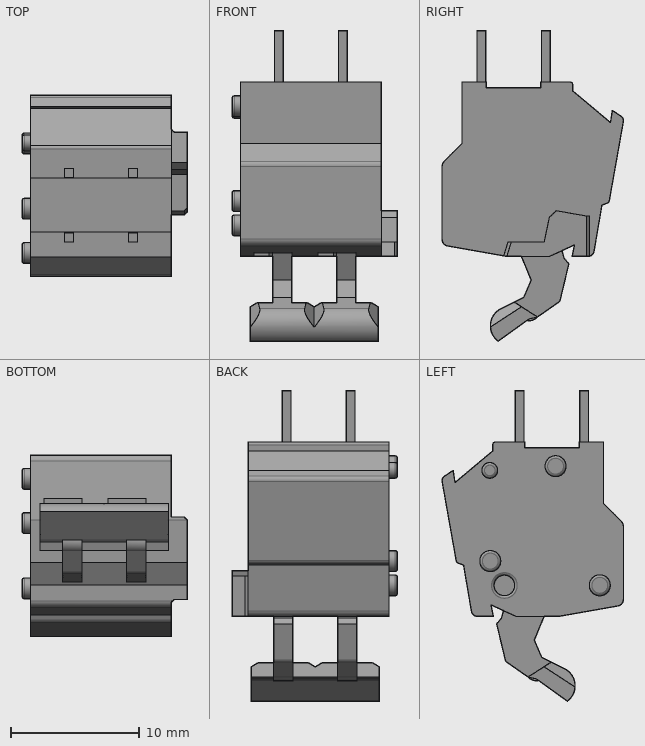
import cadquery as cq
import math


module_pitch = 5.0
module_count = 2
housing_width = 11.0

front_top_y = 1.55
shoulder_z = 7.25
housing_height = 13.62
channel_front_y = 3.47
channel_back_y = 7.70
channel_depth = 0.45
back_top_y = 10.21
roof_slope_top_z = 12.91
underside_front_y = 5.05
lean = math.tan(math.radians(10))
shoulder_top_z = shoulder_z + front_top_y
underside_front_z = underside_front_y * lean

front_radius = 0.55
top_edge_radius = 0.25
lip_radius = 0.42
step_radius = 0.3
knee_radius = 0.3
foot_radius = 0.5

stud_length = 0.65
stud_round = 0.2
large_stud_radius = 0.82
small_stud_radius = 0.615
studs = [
    (5.30, 11.72, large_stud_radius),
    (10.43, 11.39, small_stud_radius),
    (10.39, 4.32, large_stud_radius),
    (1.85, 2.43, large_stud_radius),
]

socket_y = 9.29
socket_z = 2.42
socket_radius = 0.8
socket_depth = 1.0
socket_lip_round = 0.2

pin_size = 0.7
pin_length = 4.0
first_pin_x = 3.0
pin_rows_y = [3.07, 8.10]

arm_width = 1.5
first_arm_x = 3.26
paddle_width = module_pitch
paddle_corner_angle = 45
paddle_edge_radius = 0.3
paddle_bevel_cut = 2.0
arm_embed_z = 1.5

paddle_root = (7.45, -4.72)
paddle_back_y = 5.63
arm_end_y = 5.10
crown_start = (6.37, -3.18)
crown_end = (4.62, -4.06)
crown_slope = (crown_start[1] - crown_end[1]) / (crown_start[0] - crown_end[0])
paddle_back_top = (paddle_back_y, crown_end[1] + (paddle_back_y - crown_end[0]) * crown_slope)
arm_end = (arm_end_y, crown_end[1] + (arm_end_y - crown_end[0]) * crown_slope)
paddle_heel = (6.62, -5.00)

opening_front_y = 3.4
opening_depth = 1.0
opening_offset = 2.2
opening_back_y = 4.8
opening_corner = 0.26
arm_slot_back_y = 6.5

block_length = 1.25
block_front_y = 4.80
block_floor_front_y = 5.14
block_floor_z = 1.12
block_back_y = 11.27
block_step_y = 7.97
block_bevel_start = (8.37, 3.05)
block_peak = (8.91, 3.57)
block_corner = 0.25
block_base_wedge = 0.22


def prism(outline, x_start, length):
    """Extrude a closed (y, z) polygon along +X from x_start."""
    return cq.Workplane("YZ", origin=(x_start, 0, 0)).polyline(outline).close().extrude(length)


def make_housing():
    """Return the rounded housing, and a sharp-cornered prism of its outline beside the +X wall."""
    front_shoulder = (0, shoulder_z)
    front_foot = (0, underside_front_z)
    back_top = (back_top_y, housing_height)
    lip_corner = (14.20, 10.785)
    back_step = (13.03, 4.20)
    back_foot = (11.80, 0)
    outline = [
        front_foot,
        front_shoulder,
        (front_top_y, shoulder_top_z),
        (front_top_y, housing_height),
        (channel_front_y, housing_height),
        (channel_front_y, housing_height - channel_depth),
        (channel_back_y, housing_height - channel_depth),
        (channel_back_y, housing_height),
        back_top,
        (back_top_y, roof_slope_top_z),
        (13.13, 10.46),
        (13.28, 11.40),
        lip_corner,
        back_step,
        (12.48, 4.00),
        back_foot,
        (10.14, 0),
        (10.32, 0.89),
        (8.37, 0),
        (underside_front_y, 0),
    ]
    rounded_corners = [
        (front_shoulder, front_radius),
        (front_foot, front_radius),
        (back_top, top_edge_radius),
        (lip_corner, lip_radius),
        (back_step, step_radius),
        (back_foot, foot_radius),
    ]
    housing = prism(outline, 0, housing_width)
    for (y, z), radius in rounded_corners:
        corner = cq.NearestToPointSelector((housing_width / 2, y, z))
        housing = housing.edges(corner).fillet(radius)
    return housing, prism(outline, housing_width, block_length)


def make_stud(y, z, radius):
    stud = cq.Workplane("YZ", origin=(-stud_length, y, z)).circle(radius).extrude(stud_length)
    return stud.faces("<X").edges().fillet(stud_round)


def cut_socket(housing):
    bore = cq.Workplane("YZ", origin=(0, socket_y, socket_z)).circle(socket_radius).extrude(socket_depth)
    mouth = cq.NearestToPointSelector((0, socket_y, socket_z + socket_radius))
    return housing.cut(bore).faces("<X").edges(mouth).fillet(socket_lip_round)


def make_opening(arm_x):
    """L-shaped pocket in the underside: a short recess beside the longer slot that holds the arm."""
    arm_left = arm_x - arm_width / 2
    arm_right = arm_x + arm_width / 2
    plan = [
        (arm_x - opening_offset, opening_front_y),
        (arm_right, opening_front_y),
        (arm_right, arm_slot_back_y),
        (arm_left, arm_slot_back_y),
        (arm_left, opening_back_y + opening_corner),
        (arm_left - opening_corner, opening_back_y),
        (arm_x - opening_offset, opening_back_y),
    ]
    return cq.Workplane("XY").polyline(plan).close().extrude(opening_depth)


def make_block(housing_section):
    """Stepped coupling block whose underside follows the housing outline."""
    block_rear_z = block_peak[1] - (block_back_y - block_peak[0]) * lean
    outline = [
        (block_front_y, 0),
        (block_floor_front_y, block_floor_z),
        (block_step_y, block_floor_z),
        block_bevel_start,
        block_peak,
        (block_back_y, block_rear_z),
        (block_back_y, 0),
    ]
    block = prism(outline, housing_width, block_length)
    front_end = cq.NearestToPointSelector((housing_width + block_length, block_front_y, block_floor_z / 2))
    block = block.edges(front_end).chamfer(block_corner)
    wedge = (
        cq.Workplane("XY")
        .moveTo(housing_width, block_back_y)
        .lineTo(housing_width + block_base_wedge, block_back_y)
        .lineTo(housing_width, block_back_y + block_base_wedge)
        .close()
        .extrude(block_rear_z)
    )
    return block.union(wedge).intersect(housing_section)


def make_pin(x, y):
    height = pin_length + channel_depth
    base_z = housing_height - channel_depth
    return cq.Workplane("XY", origin=(x, y, base_z)).rect(pin_size, pin_size).extrude(height)


def make_arm(x):
    knee = (9.2, -3.50)
    arm = (
        cq.Workplane("YZ", origin=(x - arm_width / 2, 0, 0))
        .moveTo(9.08, arm_embed_z)
        .lineTo(9.53, -0.13)
        .lineTo(9.90, -0.58)
        .lineTo(*knee)
        .lineTo(*paddle_root)
        .threePointArc((7.08, -4.97), paddle_heel)
        .lineTo(*arm_end)
        .lineTo(*crown_start)
        .lineTo(6.95, -1.84)
        .lineTo(5.57, arm_embed_z)
        .close()
        .extrude(arm_width)
    )
    return arm.edges(cq.NearestToPointSelector((x, *knee))).fillet(knee_radius)


def make_paddle(x):
    tip = (4.38, -6.61)
    paddle = (
        cq.Workplane("YZ", origin=(x - paddle_width / 2, 0, 0))
        .moveTo(*paddle_root)
        .lineTo(*paddle_back_top)
        .lineTo(*crown_end)
        .threePointArc((3.77, -5.35), tip)
        .lineTo(*paddle_heel)
        .lineTo(6.78, -4.87)
        .close()
        .extrude(paddle_width)
    )
    top_edge = cq.NearestToPointSelector((x, *paddle_back_top))
    paddle = paddle.edges(top_edge).fillet(paddle_edge_radius)

    bevel_start = (6.17, -3.94)
    bevel_end = (3.81, -5.48)
    bevel_angle = math.degrees(math.atan2(bevel_start[1] - bevel_end[1], bevel_start[0] - bevel_end[0]))
    bevel_rise = paddle_bevel_cut * math.tan(math.radians(paddle_corner_angle))
    for side in (-1, 1):
        end_x = x + side * paddle_width / 2
        wedge = (
            cq.Workplane("XZ")
            .polyline([(0, 0), (0, bevel_rise), (-side * paddle_bevel_cut, bevel_rise)])
            .close()
            .extrude(paddle_width, both=True)
            .rotate((0, 0, 0), (1, 0, 0), bevel_angle)
            .translate((end_x, *bevel_start))
        )
        paddle = paddle.cut(wedge)
    return paddle


housing, housing_section = make_housing()
result = cut_socket(housing)

for module in range(module_count):
    arm_x = first_arm_x + module * module_pitch
    result = result.cut(make_opening(arm_x))

for module in range(module_count):
    offset = module * module_pitch
    result = result.union(make_arm(first_arm_x + offset))
    result = result.union(make_paddle(first_arm_x + offset))
    for row_y in pin_rows_y:
        result = result.union(make_pin(first_pin_x + offset, row_y))

for stud_y, stud_z, stud_radius in studs:
    result = result.union(make_stud(stud_y, stud_z, stud_radius))

result = result.union(make_block(housing_section))